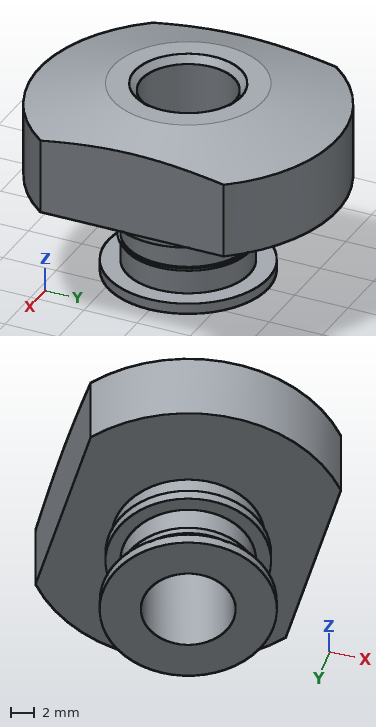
import cadquery as cq

head_diameter = 27.9
width_across_flats = 22.0
crown_diameter = 14.0

flange_diameter = 15.0
groove_diameter = 11.5
barb_diameter = 12.0
collar_diameter = 14.0
neck_diameter = 13.0

flange_height = 1.0
lower_groove_height = 2.2
barb_height = 0.4
upper_groove_height = 2.6
collar_height = 1.0
neck_height = 2.0
rim_height = 7.0
cone_height = 1.98

bore_diameter = 8.0
upper_bore_diameter = 8.7
bore_chamfer = 0.65

barb_base = flange_height + lower_groove_height
barb_top = barb_base + barb_height
collar_base = barb_top + upper_groove_height
neck_base = collar_base + collar_height
head_base = neck_base + neck_height
cone_base = head_base + rim_height
total_height = cone_base + cone_height


def frustum(bottom_diameter, top_diameter, base, top):
    """Solid of revolution about Z with straight sides between two levels."""
    outline = [
        (0, base),
        (bottom_diameter / 2, base),
        (top_diameter / 2, top),
        (0, top),
    ]
    return cq.Workplane("XZ").polyline(outline).close().revolve(360, (0, 0), (0, 1))


def cylinder(diameter, base, top):
    return frustum(diameter, diameter, base, top)


def make_head():
    rim = cylinder(head_diameter, head_base, cone_base)
    cone = frustum(head_diameter, crown_diameter, cone_base, total_height)
    flats = cq.Workplane("XY").box(
        width_across_flats, head_diameter, total_height, centered=(True, True, False)
    )
    return rim.union(cone).intersect(flats)


def make_stem():
    core = cylinder(groove_diameter, 0, head_base)
    flange = cylinder(flange_diameter, 0, flange_height)
    barb = frustum(groove_diameter, barb_diameter, barb_base, barb_top)
    collar = cylinder(collar_diameter, collar_base, neck_base)
    neck = cylinder(neck_diameter, neck_base, head_base)
    return core.union(flange).union(barb).union(collar).union(neck)


def make_bore():
    lower = cylinder(bore_diameter, 0, head_base)
    upper = cylinder(upper_bore_diameter, head_base, total_height)
    mouth_diameter = upper_bore_diameter + 2 * bore_chamfer
    mouth = frustum(upper_bore_diameter, mouth_diameter, total_height - bore_chamfer, total_height)
    return lower.union(upper).union(mouth)


result = make_head().union(make_stem()).cut(make_bore())